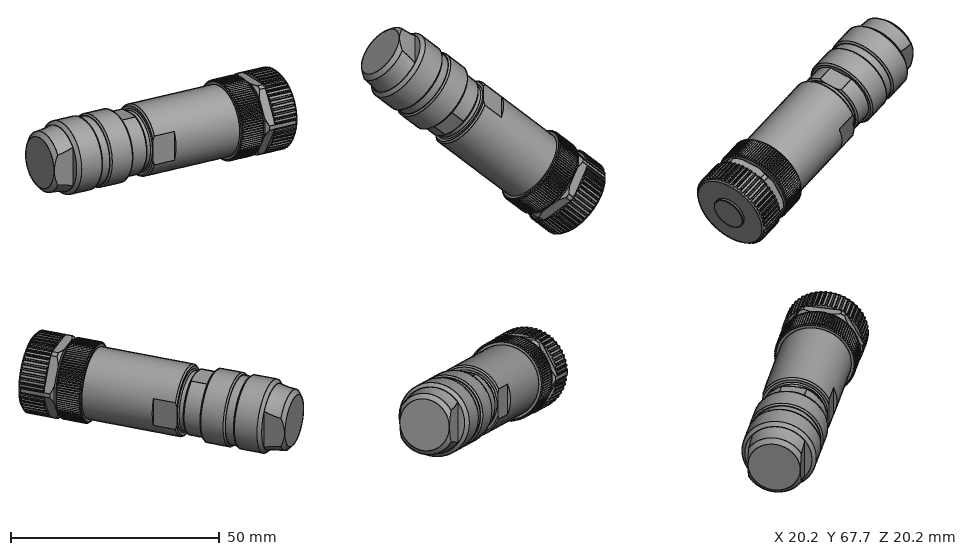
import cadquery as cq
import math


length = 67.7
tail_end = 5.3
rear_ring_end = 12.3
front_ring_start = 14.4
front_ring_end = 20.9
collar_end = 25.6
body_start = 27.0
wrench_flat_end = 33.05
body_end = 51.05
grip_end = 57.5
nut_start = 58.0
nut_knurl_start = 60.4
nut_end = 67.0

tail_face_radius = 6.35
tail_radius = 7.5
tail_mid_radius = 7.7
tail_base_radius = 8.1
ring_radius = 9.1
ring_groove_radius = 8.5
collar_radius = 8.05
neck_radius = 7.45
body_radius = 8.9
grip_radius = 9.95
nut_radius = 10.1
nose_radius = 4.2

tail_flat = 6.4
collar_flat = neck_radius
wrench_flat = 8.05
nut_flat = 9.0

tail_chamfer = 1.0
ring_rear_chamfer = 0.9
neck_flare = 0.35
edge_chamfer = 0.4
nut_chamfer = 0.75
nose_chamfer = 0.15

nut_teeth = 52
nut_tooth_depth = 0.4
nut_tip_share = 0.3
nut_root_share = 0.55
grip_teeth = 100
grip_tooth_depth = 0.3
nut_land_width = 1.0

nut_turn = -1.3


def turned(start, end, radius, start_chamfer=0.0, end_chamfer=0.0):
    """Cylinder along Y with optional 45 degree chamfers at its two ends."""
    bar = cq.Workplane("XZ", origin=(0, start, 0)).circle(radius).extrude(start - end)
    if start_chamfer:
        bar = bar.faces("<Y").chamfer(start_chamfer)
    if end_chamfer:
        bar = bar.faces(">Y").chamfer(end_chamfer)
    return bar


def cut_side_flats(body, axis, distance, start, end):
    """Trim two opposite flats at the given distance from the axis, facing along X or Z."""
    span = 4 * nut_radius
    depth = nut_radius
    middle = (start + end) / 2
    for side in (-1, 1):
        offset = side * (distance + depth / 2)
        if axis == "X":
            block = cq.Workplane("XY").box(depth, end - start, span).translate((offset, middle, 0))
        else:
            block = cq.Workplane("XY").box(span, end - start, depth).translate((0, middle, offset))
        body = body.cut(block)
    return body


def knurl(start, end, teeth, corners):
    """Straight-toothed prism along Y with a tooth gap centred on +Z.

    Each corner of a tooth is its radius and its place within the pitch, from 0 to 1.
    """
    pitch = 2 * math.pi / teeth
    points = []
    for tooth in range(teeth):
        for radius, share in corners:
            angle = math.pi / 2 + (tooth + share) * pitch
            points.append((radius * math.cos(angle), radius * math.sin(angle)))
    return cq.Workplane("XZ", origin=(0, start, 0)).polyline(points).close().extrude(start - end)


def make_tail():
    """Concave flared cable exit with two flats."""
    tail = (
        cq.Workplane("XY")
        .lineTo(tail_face_radius, 0)
        .lineTo(tail_radius, tail_chamfer)
        .threePointArc((tail_mid_radius, (tail_chamfer + tail_end) / 2), (tail_base_radius, tail_end))
        .lineTo(0, tail_end)
        .close()
        .revolve(360, (0, 0), (0, 1))
    )
    return cut_side_flats(tail, "X", tail_flat, 0, tail_end)


def make_clamp_rings():
    """Two chamfered rings with a groove between them."""
    rear = turned(tail_end, rear_ring_end, ring_radius, ring_rear_chamfer, edge_chamfer)
    groove = turned(rear_ring_end, front_ring_start, ring_groove_radius)
    front = turned(front_ring_start, front_ring_end, ring_radius, edge_chamfer, edge_chamfer)
    return rear.union(groove).union(front)


def make_collar():
    """Collar with flats above and below, followed by a neck that flares out to the body."""
    collar = turned(front_ring_end, collar_end, collar_radius, 0, edge_chamfer)
    collar = cut_side_flats(collar, "Z", collar_flat, front_ring_end, collar_end)
    neck = turned(collar_end, body_start, neck_radius)
    flare = turned(body_start - neck_flare, body_start + neck_flare, neck_radius + neck_flare, neck_flare)
    return collar.union(neck).union(flare)


def make_body():
    """Main sleeve with two wrench flats at its cable end."""
    body = turned(body_start, body_end, body_radius, edge_chamfer)
    return cut_side_flats(body, "X", wrench_flat, body_start, wrench_flat_end)


def make_grip():
    """Finely knurled ring and the neck that carries the nut."""
    sharp_tooth = ((grip_radius - grip_tooth_depth, 0), (grip_radius, 1 / 2))
    teeth = knurl(body_end, grip_end, grip_teeth, sharp_tooth)
    ring = turned(body_end, grip_end, grip_radius, edge_chamfer, edge_chamfer).intersect(teeth)
    return ring.union(turned(grip_end, nut_start, neck_radius))


def make_nut():
    """Hexagon with rounded corners and a coarse knurl that has a smooth land at two opposite places."""
    blank = turned(nut_start, nut_end, nut_radius, nut_chamfer, nut_chamfer)
    hexagon = (
        cq.Workplane("XZ", origin=(0, nut_start, 0))
        .polygon(6, 2 * nut_flat / math.cos(math.pi / 6))
        .extrude(nut_start - nut_knurl_start)
    )
    root_radius = nut_radius - nut_tooth_depth
    flat_tooth = (
        (root_radius, nut_root_share / 2),
        (nut_radius, (1 - nut_tip_share) / 2),
        (nut_radius, (1 + nut_tip_share) / 2),
        (root_radius, 1 - nut_root_share / 2),
    )
    teeth = knurl(nut_knurl_start, nut_end, nut_teeth, flat_tooth)
    land = (
        cq.Workplane("XZ", origin=(0, nut_knurl_start, 0))
        .rect(2 * nut_radius, nut_land_width)
        .extrude(nut_knurl_start - nut_end)
    )
    nut = hexagon.union(teeth).union(land).intersect(blank)
    return nut.rotate((0, 0, 0), (0, -1, 0), nut_turn)


result = (
    make_tail()
    .union(make_clamp_rings())
    .union(make_collar())
    .union(make_body())
    .union(make_grip())
    .union(make_nut())
    .union(turned(nut_end, length, nose_radius, 0, nose_chamfer))
)